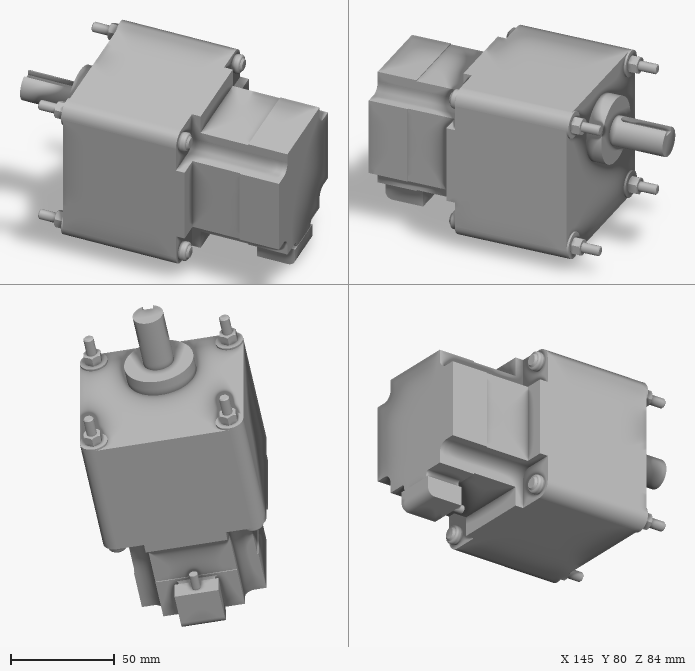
import cadquery as cq
import math


case_size = 80.0
cover_end_x = 63.5
cover_shoulder_x = 59.0
case_corner_radius = 6.8

shaft_offset_z = 15.0
shaft_diameter = 15.0
shaft_tip_x = -36.0
boss_diameter = 34.0
boss_length = 8.0
key_width = 5.0
key_depth = 3.0
key_length = 25.0

stator_size = 60.0
rear_size = 61.0
rear_start_x = 88.3
motor_end_x = 108.8

recess_wall = 20.0
recess_radius = 5.0

connector_start_x = 89.0
connector_end_x = 109.0
connector_width = 21.5
connector_top_z = -34.0
connector_bottom_z = -44.0
connector_corner_radius = 4.0
neck_start_x = 89.6
neck_half_width = 9.0
neck_radius = 1.6
cable_diameter = 4.2
cable_start_x = 80.8
cable_z = -39.2

bolt_pitch_diameter = 94.0
bolt_offset = bolt_pitch_diameter / 2 * math.sin(math.radians(45))
bolt_diameter = 5.0
bolt_tip_x = -14.9
bolt_tip_chamfer = 0.5
washer_radius = case_size / 2 - bolt_offset
washer_thickness = 1.0
nut_across_flats = 8.0
nut_thickness = 4.7
nut_chamfer = 0.5
head_base_radius = 4.5
head_radius = 4.8
head_top_radius = 2.7
head_rim_offset = 1.2
head_edge_offset = 2.6
head_edge_radius = 1.2
head_height = 4.8


def plane_at(x):
    """Sketch plane facing +X, with local x along Y and local y along Z."""
    return cq.Workplane("YZ", origin=(x, 0, 0))


def square_bar(size, start_x, end_x):
    return plane_at(start_x).rect(size, size).extrude(end_x - start_x)


def round_bar(diameter, start_x, end_x, z=0.0):
    return plane_at(start_x).center(0, z).circle(diameter / 2).extrude(end_x - start_x)


def at_bolt_positions():
    signs = (-1, 1)
    return [(sy * bolt_offset, sz * bolt_offset) for sy in signs for sz in signs]


def corner_recesses():
    """Four L-shaped corner cutters with a rounded inner corner."""
    width = case_size / 2 - recess_wall
    centre = recess_wall + width / 2
    cutters = (
        plane_at(cover_shoulder_x)
        .rect(2 * centre, 2 * centre, forConstruction=True)
        .vertices()
        .rect(width, width)
        .extrude(motor_end_x - cover_shoulder_x)
    )
    inner_edges = cq.selectors.BoxSelector(
        (cover_shoulder_x, -centre, -centre), (motor_end_x, centre, centre)
    )
    return cutters.edges("|X").edges(inner_edges).fillet(recess_radius)


def make_shaft_and_boss():
    shaft = round_bar(shaft_diameter, shaft_tip_x, 0, shaft_offset_z)
    boss = round_bar(boss_diameter, -boss_length, 0, shaft_offset_z)
    key_floor_z = shaft_offset_z + shaft_diameter / 2 - key_depth
    keyway = (
        cq.Workplane("XY", origin=(shaft_tip_x, 0, key_floor_z))
        .slot2D(2 * key_length, key_width)
        .extrude(2 * key_depth)
    )
    return shaft.cut(keyway).union(boss)


def make_connector():
    length = connector_end_x - connector_start_x
    height = connector_top_z - connector_bottom_z
    box = (
        cq.Workplane("XY", origin=(connector_start_x + length / 2, 0, connector_bottom_z))
        .rect(length, connector_width)
        .extrude(height)
        .edges("|Y and >X and <Z")
        .fillet(connector_corner_radius)
    )
    cable = round_bar(cable_diameter, cable_start_x, connector_start_x, cable_z)
    return box.union(cable).union(make_connector_neck())


def make_connector_neck():
    """Neck flared towards the motor and rounded under towards the connector."""
    top_z = -rear_size / 2
    flare_end_z = top_z - neck_radius
    round_start_z = connector_top_z + neck_radius
    outer = neck_half_width + neck_radius
    inner = neck_half_width - neck_radius
    diagonal = neck_radius * math.sin(math.radians(45))
    half_neck = (
        plane_at(neck_start_x)
        .moveTo(0, top_z)
        .lineTo(outer, top_z)
        .threePointArc((outer - diagonal, flare_end_z + diagonal), (neck_half_width, flare_end_z))
        .lineTo(neck_half_width, round_start_z)
        .threePointArc((inner + diagonal, round_start_z - diagonal), (inner, connector_top_z))
        .lineTo(0, connector_top_z)
        .close()
        .extrude(motor_end_x - neck_start_x)
    )
    return half_neck.union(half_neck.mirror("XZ"))


def make_gearmotor():
    case = square_bar(case_size, 0, cover_end_x).edges("|X").fillet(case_corner_radius)
    stator = square_bar(stator_size, cover_end_x, rear_start_x)
    rear_housing = square_bar(rear_size, rear_start_x, motor_end_x)
    bolt_holes = (
        plane_at(0)
        .pushPoints(at_bolt_positions())
        .circle(bolt_diameter / 2)
        .extrude(cover_shoulder_x)
    )
    return (
        case.union(stator)
        .union(rear_housing)
        .cut(corner_recesses())
        .cut(bolt_holes)
        .union(make_shaft_and_boss())
        .union(make_connector())
    )


def make_nut():
    """Hexagon with a corner pointing up, its corners chamfered at both faces."""
    across_corners = nut_across_flats / math.cos(math.radians(30))
    start_x = -washer_thickness - nut_thickness
    hexagon = (
        plane_at(start_x)
        .transformed(rotate=(0, 0, 90))
        .polygon(6, across_corners)
        .extrude(nut_thickness)
    )
    rounded_blank = (
        round_bar(across_corners, start_x, -washer_thickness).edges().chamfer(nut_chamfer)
    )
    return hexagon.intersect(rounded_blank)


def make_bolt_head():
    """Head seated on the cover shoulder: flared base, straight rim, rounded edge and tapered top."""
    rim_x = cover_shoulder_x + head_rim_offset
    edge_x = cover_shoulder_x + head_edge_offset
    taper_x = edge_x + head_edge_radius
    top_x = cover_shoulder_x + head_height
    taper_radius = head_radius - head_edge_radius
    diagonal = head_edge_radius * math.sin(math.radians(45))
    return (
        cq.Workplane("XY")
        .moveTo(cover_shoulder_x, 0)
        .lineTo(cover_shoulder_x, head_base_radius)
        .lineTo(rim_x, head_radius)
        .lineTo(edge_x, head_radius)
        .threePointArc((edge_x + diagonal, taper_radius + diagonal), (taper_x, taper_radius))
        .lineTo(top_x, head_top_radius)
        .lineTo(top_x, 0)
        .close()
        .revolve(360, (0, 0, 0), (1, 0, 0))
    )


def make_bolt():
    """One mounting bolt along the X axis with its washer and nut."""
    shank = (
        round_bar(bolt_diameter, bolt_tip_x, cover_shoulder_x)
        .faces("<X")
        .chamfer(bolt_tip_chamfer)
    )
    washer = round_bar(2 * washer_radius, -washer_thickness, 0)
    return shank.union(washer).union(make_nut()).union(make_bolt_head())


gearmotor = make_gearmotor()

bolts = []
for y, z in at_bolt_positions():
    bolts.append(make_bolt().translate((0, y, z)))

result = cq.Compound.makeCompound([gearmotor.val(), *[bolt.val() for bolt in bolts]])